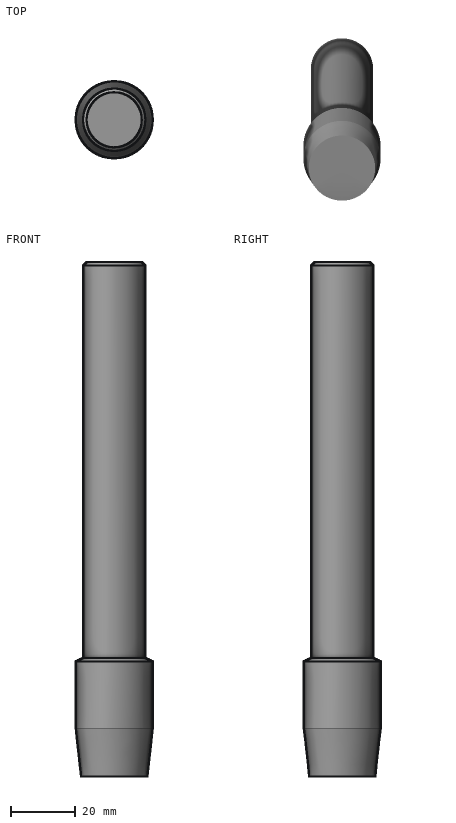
import cadquery as cq

total_length = 160.0
head_diameter = 24.0
rod_diameter = 19.4
tip_diameter = 20.6

taper_length = 15.0
head_length = 37.0
rod_chamfer = 1.1
shoulder_height = 1.1


def make_rod():
    """Plain round rod, chamfered at its free upper end."""
    rod_length = total_length - head_length
    return (
        cq.Workplane("XY", origin=(0, 0, head_length))
        .circle(rod_diameter / 2)
        .extrude(rod_length)
        .faces(">Z")
        .chamfer(rod_chamfer)
    )


def make_head():
    """Solid round head with a conical shoulder up to the rod and a tapered lower end."""
    head_radius = head_diameter / 2
    tip_radius = tip_diameter / 2
    profile = (
        cq.Workplane("XZ")
        .moveTo(0, 0)
        .lineTo(tip_radius, 0)
        .lineTo(head_radius, taper_length)
        .lineTo(head_radius, head_length - shoulder_height)
        .lineTo(rod_diameter / 2, head_length)
        .lineTo(0, head_length)
        .close()
    )
    return profile.revolve(360, (0, 0, 0), (0, 1, 0))


rod = make_rod()
head = make_head()
result = cq.Compound.makeCompound([rod.val(), head.val()])